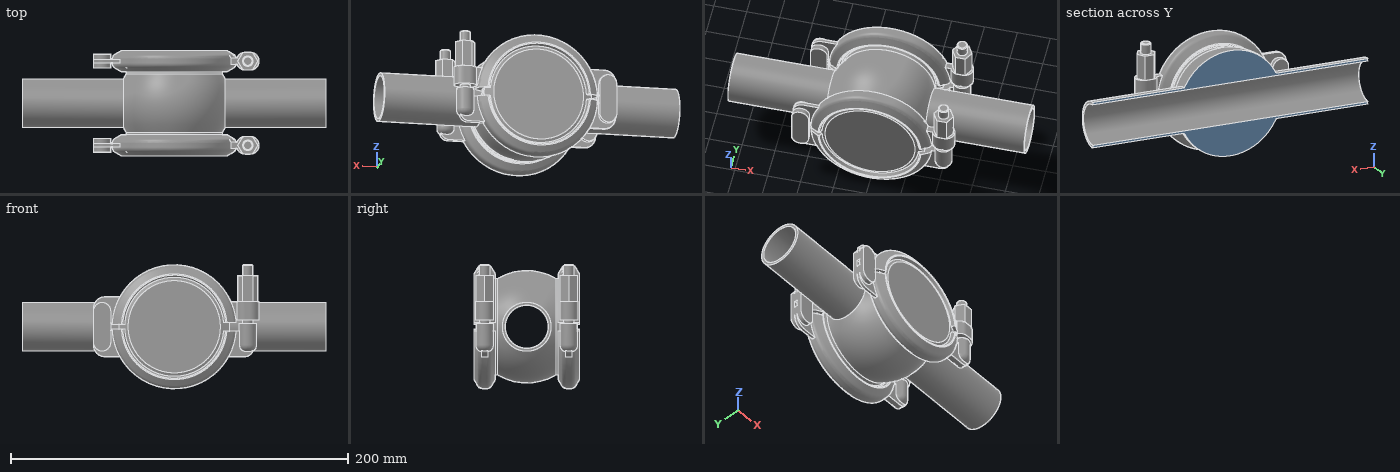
import cadquery as cq
import math

pipe_length = 180.0
pipe_outer_diameter = 29.0
pipe_bore_diameter = 25.4
ball_radius = 33.5
neck_radius = 28.6

overall_width = 62.6
ring_diameter = 73.6
ring_radius = ring_diameter / 2
ring_width = 12.8
ring_half_width = ring_width / 2
ring_crest_width = 2.7
ring_crest_half_width = ring_crest_width / 2
ring_round = 3.2
ring_side_angle = 60.0
lip_outer_radius = 30.6
lip_inner_radius = 29.3
left_slit_half_height = 1.5
right_slit_half_height = 2.5

joint_offset = overall_width / 2 - ring_half_width
flange_radius = 32.8
flange_rim_half_width = 3.0
flange_angle = 20.0
cap_face_radius = 27.4

plate_half_height = 17.8
plate_root_x = 31.7

hinge_end_x = -47.9
hinge_plate_thickness = 2.0
hinge_plate_corner = 6.8
hinge_plate_gap_half_height = 2.3
link_width = 10.3
link_half_height = 14.4
link_pair_width = 8.3

bolt_x = 43.5
bolt_plate_thickness = 3.8
lower_plate_end_x = 47.0
lower_plate_corner = 5.2
lug_diameter = 10.6
lug_centre_spacing = 2.9
lug_bottom = 4.1
lug_top = 15.0
barrel_diameter = 10.3
barrel_top = 2.0
barrel_bottom = -14.8
barrel_round = 3.6
nut_across_corners = 11.9
nut_top = 30.2
stud_diameter = 6.1
stud_chamfer = 0.5


def flange_half_width(radius):
    """Distance from the joint face to the sloping flange back at a given radius."""
    return flange_rim_half_width + (flange_radius - radius) * math.tan(math.radians(flange_angle))


def box_between(x_range, y_range, z_range):
    """Box spanning the given (low, high) ranges."""
    ranges = (x_range, y_range, z_range)
    sizes = [high - low for low, high in ranges]
    low_corner = tuple(low for low, high in ranges)
    return cq.Workplane("XY").box(*sizes, centered=False).translate(low_corner)


def across_y(width):
    """Range of the given width centred on y = 0."""
    return (-width / 2, width / 2)


def revolve_about_y(profile):
    """Revolve a closed XY profile, drawn as (radius, y), about the Y axis."""
    return profile.revolve(360, (0, 0, 0), (0, 1, 0))


def make_housing():
    """Ball on a straight pipe, with a flanged neck on each side."""
    neck_end = joint_offset - flange_half_width(neck_radius)
    rim_start = joint_offset - flange_rim_half_width
    ball_end = math.sqrt(ball_radius**2 - neck_radius**2)
    profile = (
        cq.Workplane("XY")
        .moveTo(0, -joint_offset)
        .lineTo(flange_radius, -joint_offset)
        .lineTo(flange_radius, -rim_start)
        .lineTo(neck_radius, -neck_end)
        .lineTo(neck_radius, -ball_end)
        .threePointArc((ball_radius, 0), (neck_radius, ball_end))
        .lineTo(neck_radius, neck_end)
        .lineTo(flange_radius, rim_start)
        .lineTo(flange_radius, joint_offset)
        .lineTo(0, joint_offset)
        .close()
    )
    body = revolve_about_y(profile)
    pipe = cq.Workplane("YZ").circle(pipe_outer_diameter / 2).extrude(pipe_length / 2, both=True)
    bore = cq.Workplane("YZ").circle(pipe_bore_diameter / 2).extrude(pipe_length / 2, both=True)
    return body.union(pipe).cut(bore)


def make_cap():
    """Blind cap standing on a joint face at y = 0 and facing +Y."""
    profile = (
        cq.Workplane("XY")
        .polyline([
            (0, 0),
            (flange_radius, 0),
            (flange_radius, flange_rim_half_width),
            (cap_face_radius, flange_half_width(cap_face_radius)),
            (0, flange_half_width(cap_face_radius)),
        ])
        .close()
    )
    return revolve_about_y(profile)


def make_ring():
    """Clamp ring whose V groove fits over the joined flanges, centred on y = 0."""
    slope = math.radians(ring_side_angle)
    round_centre_r = ring_radius - ring_round
    round_mid = (
        round_centre_r + ring_round * math.cos(slope / 2),
        ring_crest_half_width + ring_round * math.sin(slope / 2),
    )
    round_end = (
        round_centre_r + ring_round * math.cos(slope),
        ring_crest_half_width + ring_round * math.sin(slope),
    )
    side_end_r = round_end[0] - (ring_half_width - round_end[1]) * math.tan(slope)
    half_profile = (
        cq.Workplane("XY")
        .moveTo(flange_radius, 0)
        .lineTo(ring_radius, 0)
        .lineTo(ring_radius, ring_crest_half_width)
        .threePointArc(round_mid, round_end)
        .lineTo(side_end_r, ring_half_width)
        .lineTo(lip_outer_radius, ring_half_width)
        .lineTo(lip_inner_radius, flange_half_width(lip_inner_radius))
        .lineTo(flange_radius, flange_rim_half_width)
        .close()
    )
    half_ring = revolve_about_y(half_profile)
    ring = half_ring.union(half_ring.mirror("XZ"))
    across = across_y(ring_width)
    left_slit = box_between(
        (-ring_radius, 0), across, (-left_slit_half_height, left_slit_half_height)
    )
    right_slit = box_between(
        (0, ring_radius), across, (-right_slit_half_height, right_slit_half_height)
    )
    return ring.cut(left_slit).cut(right_slit)


def make_hinge():
    """Split plate joined by a round-ended link on each face."""
    plate = box_between(
        (hinge_end_x, -plate_root_x),
        across_y(hinge_plate_thickness),
        (-plate_half_height, plate_half_height),
    )
    plate = plate.edges("|Y and <X").fillet(hinge_plate_corner)
    gap = box_between(
        (hinge_end_x, -plate_root_x),
        across_y(hinge_plate_thickness),
        (-hinge_plate_gap_half_height, hinge_plate_gap_half_height),
    )
    links = (
        cq.Workplane("XZ")
        .center(hinge_end_x + link_width / 2, 0)
        .slot2D(2 * link_half_height, link_width, 90)
        .extrude(link_pair_width / 2, both=True)
    )
    return plate.union(links).cut(gap)


def make_bolt_side():
    """Upper lug and lower barrel on their plates, tied by a stud with a long hex nut."""
    upper_plate = box_between(
        (plate_root_x, bolt_x), across_y(bolt_plate_thickness), (lug_bottom, lug_top)
    )
    lower_plate = box_between(
        (plate_root_x, lower_plate_end_x),
        across_y(bolt_plate_thickness),
        (-plate_half_height, -right_slit_half_height),
    )
    lower_plate = lower_plate.edges("|Y and >X and <Z").fillet(lower_plate_corner)
    lug = (
        cq.Workplane("XY", origin=(bolt_x, 0, lug_bottom))
        .slot2D(lug_centre_spacing + lug_diameter, lug_diameter)
        .extrude(lug_top - lug_bottom)
    )
    barrel = (
        cq.Workplane("XY", origin=(bolt_x, 0, barrel_bottom))
        .circle(barrel_diameter / 2)
        .extrude(barrel_top - barrel_bottom)
        .faces("<Z").edges().fillet(barrel_round)
    )
    nut = (
        cq.Workplane("XY", origin=(bolt_x, 0, lug_top))
        .polygon(6, nut_across_corners)
        .extrude(nut_top - lug_top)
    )
    stud = (
        cq.Workplane("XY", origin=(bolt_x, 0, barrel_top))
        .circle(stud_diameter / 2)
        .extrude(ring_radius - barrel_top)
        .faces(">Z").edges().chamfer(stud_chamfer)
    )
    return lower_plate.union(barrel).union(upper_plate).union(lug).union(nut).union(stud)


def make_clamp():
    """Complete clamp centred on y = 0, cleared for the joined flanges it grips."""
    cap = make_cap()
    clamp = make_ring().union(make_hinge()).union(make_bolt_side())
    return clamp.cut(cap).cut(cap.mirror("XZ"))


housing = make_housing()
clamps = []
caps = []
for side in (1, -1):
    clamps.append(make_clamp().translate((0, side * joint_offset, 0)))
    cap = make_cap().translate((0, joint_offset, 0))
    caps.append(cap if side > 0 else cap.mirror("XZ"))

result = cq.Compound.makeCompound(
    [housing.val(), *[clamp.val() for clamp in clamps], *[cap.val() for cap in caps]]
)